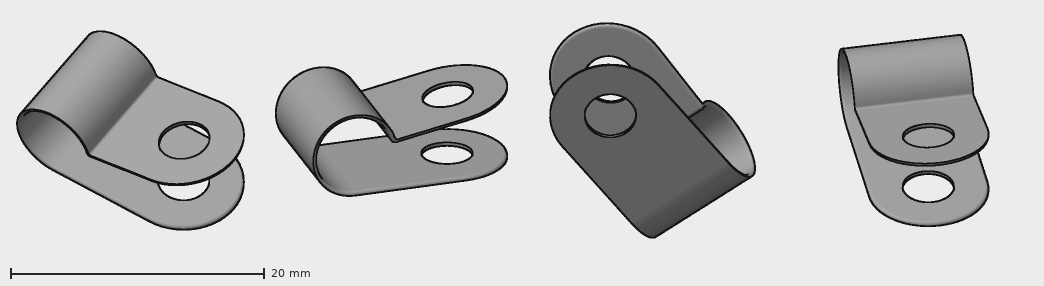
import cadquery as cq
import math

length = 17.43
width = 9.53
loop_radius = 3.49
thickness = 0.31
hole_diameter = 4.06
edge_radius = 0.26
upper_bend_radius = 0.23
lower_bend_radius = 0.35
leg_angle = 10.0
upper_setback = 0.02
upper_eye_z = 5.4

eye_radius = width / 2
lower_eye_x = length - eye_radius
slope_cos = math.cos(math.radians(leg_angle))
slope_sin = math.sin(math.radians(leg_angle))
upper_eye_x = length - upper_setback - eye_radius * slope_cos
center = loop_radius
inner_radius = loop_radius - thickness
overrun = 1.75
cut_height = 3.49


def leg_point(along, above):
    """Point relative to the upper leg's eye, along and normal to its top face."""
    x = upper_eye_x + along * slope_cos - above * slope_sin
    z = upper_eye_z + along * slope_sin + above * slope_cos
    return x, z


def bend_points(surface_radius, leg_level, radius):
    """Start, middle and end of an arc tangent to the loop surface and a leg face."""
    level = leg_level + radius
    dx = center - upper_eye_x
    dz = center - upper_eye_z
    loop_along = dx * slope_cos + dz * slope_sin
    loop_above = dz * slope_cos - dx * slope_sin
    reach = surface_radius + radius
    along = loop_along + math.sqrt(reach**2 - (level - loop_above) ** 2)
    x, z = leg_point(along, level)
    start_angle = math.atan2(center - z, center - x) + 2 * math.pi
    end_angle = math.radians(leg_angle + 270)
    angles = (start_angle, (start_angle + end_angle) / 2, end_angle)
    return [(x + radius * math.cos(a), z + radius * math.sin(a)) for a in angles]


def make_strip():
    """Bent strip with square leg ends, centred on Y = 0."""
    top_start, top_middle, top_end = bend_points(loop_radius, 0, upper_bend_radius)
    low_start, low_middle, low_end = bend_points(inner_radius, -thickness, lower_bend_radius)
    leg_reach = eye_radius + overrun
    return (
        cq.Workplane("XZ", origin=(0, width / 2, 0))
        .moveTo(center, 0)
        .threePointArc((0, center), top_start)
        .threePointArc(top_middle, top_end)
        .lineTo(*leg_point(leg_reach, 0))
        .lineTo(*leg_point(leg_reach, -thickness))
        .lineTo(*low_end)
        .threePointArc(low_middle, low_start)
        .threePointArc((thickness, center), (center, thickness))
        .lineTo(length + overrun, thickness)
        .lineTo(length + overrun, 0)
        .close()
        .extrude(width)
    )


def disc(plane, radius):
    """Cylinder reaching half the cut height to both sides of an eye plane."""
    return cq.Workplane(plane).cylinder(cut_height, radius)


def end_waste(plane):
    """Material outside a rounded leg end, for a plane centred on its eye."""
    reach = eye_radius + 2 * overrun
    block = cq.Workplane(plane).center(reach / 2, 0).box(reach, 2 * reach, cut_height)
    return block.cut(disc(plane, eye_radius))


lower_eye = cq.Plane(origin=(lower_eye_x, 0, 0))
upper_eye = cq.Plane(
    origin=(upper_eye_x, 0, upper_eye_z),
    xDir=(slope_cos, 0, slope_sin),
    normal=(-slope_sin, 0, slope_cos),
)
eyes = (lower_eye, upper_eye)

clamp = make_strip()
for eye in eyes:
    clamp = clamp.cut(end_waste(eye))

inner_face = clamp.faces(cq.selectors.NearestToPointSelector((lower_eye_x, 0, thickness)))
result = inner_face.edges("not |Y").fillet(edge_radius)
for eye in eyes:
    result = result.cut(disc(eye, hole_diameter / 2))